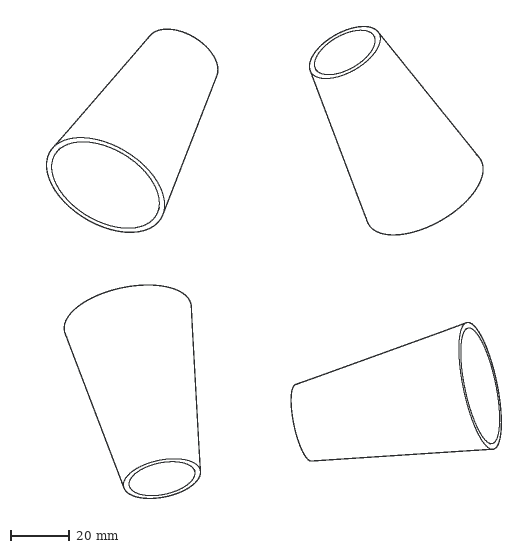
import cadquery as cq

length = 64.0
large_diameter = 44.5
small_diameter = 26.95
wall = 2.0

large_radius = large_diameter / 2
small_radius = small_diameter / 2

front_y = -length / 2
back_y = length / 2
wall_section = (
    cq.Workplane("XY")
    .moveTo(large_radius - wall, front_y)
    .lineTo(large_radius, front_y)
    .lineTo(small_radius, back_y)
    .lineTo(small_radius - wall, back_y)
    .close()
)

result = wall_section.revolve(360, (0, 0, 0), (0, 1, 0))